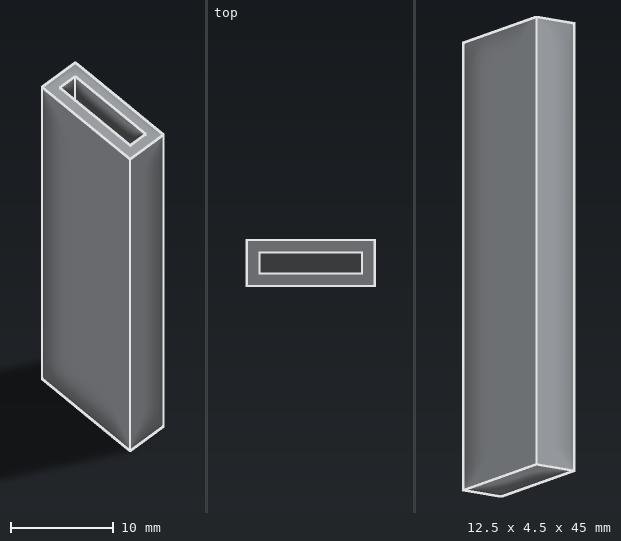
import cadquery as cq

width = 12.5
depth = 4.5
height = 45.0

side_wall = 1.25
face_wall = 1.2
floor_thickness = side_wall

cavity_width = width - 2 * side_wall
cavity_depth = depth - 2 * face_wall
cavity_height = height - floor_thickness

sleeve = cq.Workplane("XY").box(width, depth, height, centered=(True, True, False))

cavity = (
    cq.Workplane("XY")
    .workplane(offset=floor_thickness)
    .box(cavity_width, cavity_depth, cavity_height, centered=(True, True, False))
)

result = sleeve.cut(cavity)